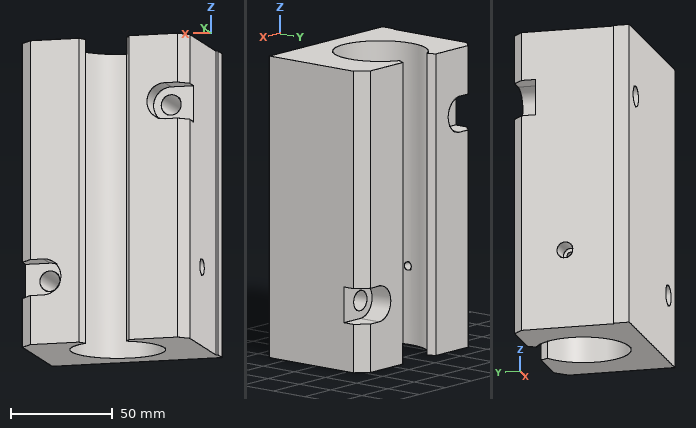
import cadquery as cq
import math

width = 87.0
depth = 60.0
height = 152.0
lip_step = 1.0
lip_depth = 8.0
corner_chamfer = 6.0

bore_diameter = 47.0
bore_center_y = 35.0
mouth_neck_width = 21.0
mouth_flare_angle = 30.0

mount_hole_diameter = 10.2
mount_hole_offset_x = 31.0
mount_hole_offset_z = 42.5
pocket_diameter = 18.0
pocket_depth = 12.0

side_hole_diameter = 8.0
side_hole_depth = 12.0
side_pilot_diameter = 4.2
side_hole_y = 33.0
side_hole_from_bottom = 39.5

left_x = -width / 2
right_x = width / 2
side_x = left_x + lip_step
bottom_z = -height / 2


def make_block():
    outline = [
        (left_x, 0),
        (right_x, 0),
        (right_x, depth - corner_chamfer),
        (right_x - corner_chamfer, depth),
        (left_x + corner_chamfer, depth),
        (side_x, depth - corner_chamfer + lip_step),
        (side_x, lip_depth),
        (left_x, lip_depth),
    ]
    return cq.Workplane("XY", origin=(0, 0, bottom_z)).polyline(outline).close().extrude(height)


def make_bore():
    bottom_plane = cq.Workplane("XY", origin=(0, 0, bottom_z))
    bore = bottom_plane.center(0, bore_center_y).circle(bore_diameter / 2).extrude(height)
    neck_half = mouth_neck_width / 2
    neck_y = bore_center_y + math.sqrt((bore_diameter / 2) ** 2 - neck_half ** 2)
    outer_half = neck_half + (depth - neck_y) * math.tan(math.radians(mouth_flare_angle))
    mouth_outline = [
        (-neck_half, bore_center_y),
        (neck_half, bore_center_y),
        (neck_half, neck_y),
        (outer_half, depth),
        (-outer_half, depth),
        (-neck_half, neck_y),
    ]
    mouth = bottom_plane.polyline(mouth_outline).close().extrude(height)
    return bore.union(mouth)


def make_mounting_hole(side):
    """Cutter for the hole nearest the -X side (side = -1) or the +X side (side = 1)."""
    hole_x = side * mount_hole_offset_x
    hole_z = -side * mount_hole_offset_z
    hole_start = cq.Workplane("XZ", origin=(hole_x, 0, hole_z))
    hole = hole_start.circle(mount_hole_diameter / 2).extrude(-depth)

    pocket_start = cq.Workplane("XZ", origin=(hole_x, depth - pocket_depth, hole_z))
    round_end = pocket_start.circle(pocket_diameter / 2).extrude(-pocket_depth)
    run_out = right_x - mount_hole_offset_x
    open_side = (
        pocket_start.center(side * run_out / 2, 0)
        .rect(run_out, pocket_diameter)
        .extrude(-pocket_depth)
    )
    return hole.union(round_end).union(open_side)


def make_side_hole():
    start = cq.Workplane("YZ", origin=(side_x, side_hole_y, bottom_z + side_hole_from_bottom))
    wide = start.circle(side_hole_diameter / 2).extrude(side_hole_depth)
    pilot = start.circle(side_pilot_diameter / 2).extrude(-side_x)
    return wide.union(pilot)


result = make_block().cut(make_bore())
for side in (-1, 1):
    result = result.cut(make_mounting_hole(side))
result = result.cut(make_side_hole())